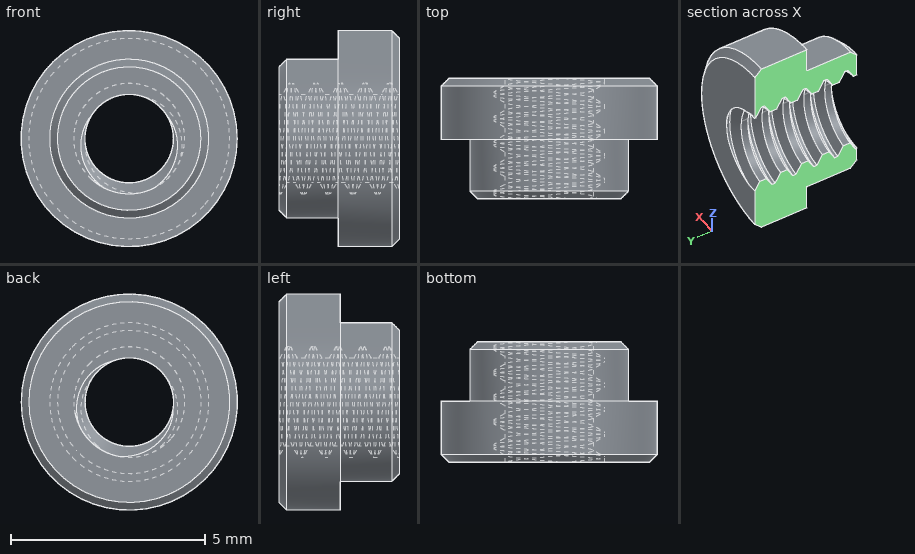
import cadquery as cq
import math

flange_diameter = 5.56
barrel_diameter = 4.085
total_length = 3.1
flange_thickness = 1.58
chamfer = 0.2

minor_diameter = 2.27
major_diameter = 2.845
pitch = 0.635
root_flat = 0.095
flank_angle = 30.0
crest_overlap = 0.03
runout_turns = 1.25


def make_body():
    """Stepped round body along local Z, barrel end at zero."""
    barrel_length = total_length - flange_thickness
    barrel = cq.Workplane("XY").circle(barrel_diameter / 2).extrude(total_length)
    flange = (
        cq.Workplane("XY", origin=(0, 0, barrel_length))
        .circle(flange_diameter / 2)
        .extrude(flange_thickness)
    )
    barrel = barrel.faces("<Z").chamfer(chamfer)
    flange = flange.faces(">Z").chamfer(chamfer)
    bore = cq.Workplane("XY").circle(minor_diameter / 2).extrude(total_length)
    return barrel.union(flange).cut(bore)


def make_thread_groove():
    """Helical ridge to cut from the bore, trimmed flush with the end faces."""
    root_radius = major_diameter / 2
    base_radius = minor_diameter / 2 - crest_overlap
    half_root = root_flat / 2
    half_base = half_root + (root_radius - base_radius) * math.tan(math.radians(flank_angle))
    start = -runout_turns * pitch
    height = total_length + 2 * runout_turns * pitch
    path = cq.Wire.makeHelix(pitch, height, base_radius, center=cq.Vector(0, 0, start))
    profile = (
        cq.Workplane("XZ")
        .moveTo(base_radius, start - half_base)
        .lineTo(root_radius, start - half_root)
        .lineTo(root_radius, start + half_root)
        .lineTo(base_radius, start + half_base)
        .close()
    )
    ridge = profile.sweep(cq.Workplane(obj=path), isFrenet=True)
    envelope = cq.Workplane("XY").circle(barrel_diameter / 2).extrude(total_length)
    return ridge.intersect(envelope)


threaded_body = make_body().cut(make_thread_groove())

result = threaded_body.rotate((0, 0, 0), (1, 0, 0), -90)